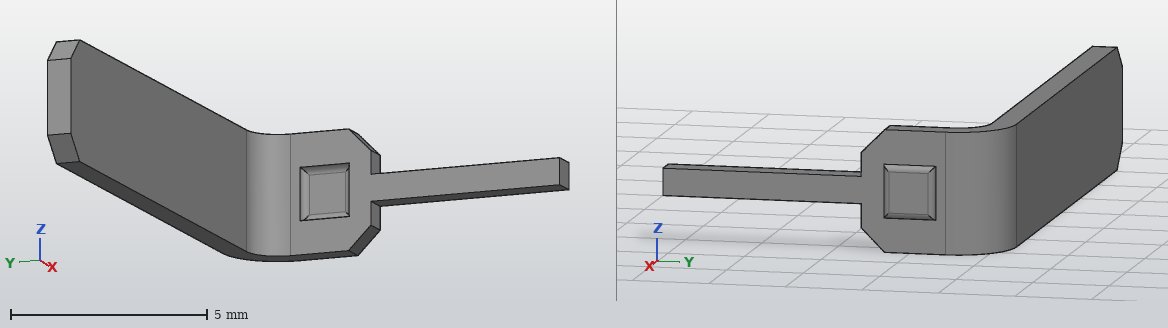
import cadquery as cq

length = 13.64
depth = 8.9
height = 3.18

thickness = 0.64
inner_radius = 0.86
corner_chamfer = 0.61
short_leg_depth = 3.71

pin_height = 0.71

emboss_width = 1.35
emboss_height = 1.39
boss_height = 0.18
pocket_depth = 0.2
emboss_start = 1.76
boss_fillet = 0.16
pocket_fillet = 0.18

outer_x = length - boss_height
inner_x = outer_x - thickness
emboss_y = -emboss_start - emboss_width / 2


def bent_strip():
    """L-shaped strip with concentric bend arcs and chamfered end corners."""
    strip = (
        cq.Workplane("XY")
        .polyline([
            (0, 0),
            (outer_x, 0),
            (outer_x, -short_leg_depth),
            (inner_x, -short_leg_depth),
            (inner_x, -thickness),
            (0, -thickness),
        ])
        .close()
        .extrude(height / 2, both=True)
    )
    outer_corner = cq.selectors.NearestToPointSelector((outer_x, 0, 0))
    inner_corner = cq.selectors.NearestToPointSelector((inner_x, -thickness, 0))
    strip = strip.edges("|Z").edges(outer_corner).fillet(inner_radius + thickness)
    strip = strip.edges("|Z").edges(inner_corner).fillet(inner_radius)
    strip = strip.faces("<X").edges("|Y").chamfer(corner_chamfer)
    return strip.faces("<Y").edges("|X").chamfer(corner_chamfer)


def pin():
    """Straight pin continuing the short leg at mid height."""
    return (
        cq.Workplane("XY")
        .box(thickness, depth - short_leg_depth, pin_height, centered=(False, False, True))
        .translate((inner_x, -depth, 0))
    )


def emboss_block(start_x, block_depth, edge_fillet):
    """Rectangular block with its +X face edges rounded."""
    return (
        cq.Workplane("XY")
        .box(block_depth, emboss_width, emboss_height, centered=(False, True, True))
        .faces(">X")
        .edges()
        .fillet(edge_fillet)
        .translate((start_x, emboss_y, 0))
    )


boss = emboss_block(outer_x, boss_height, boss_fillet)
pocket = emboss_block(inner_x, pocket_depth, pocket_fillet)

result = bent_strip().union(pin()).union(boss).cut(pocket)